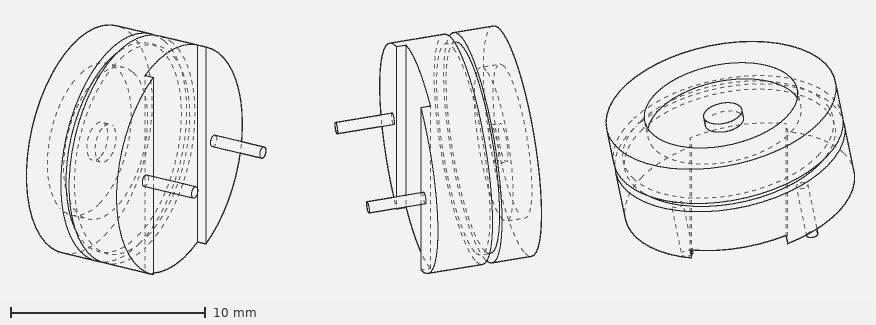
import cadquery as cq

body_diameter = 12
body_length = 5.5
total_length = 8.5

groove_diameter = 11.0
groove_start = 2.1
groove_width = 0.5

pocket_diameter = 8.0
pocket_depth = 1.0
boss_diameter = 2.0
boss_height = 0.5

slot_width = 5.0
slot_depth = 0.5

pin_diameter = 0.6
pin_spacing = 6.5


def cylinder(diameter, start, length, y=0):
    """Cylinder along +X, beginning at X = start."""
    return cq.Workplane("YZ", origin=(start, y, 0)).circle(diameter / 2).extrude(length)


body = cylinder(body_diameter, 0, body_length)
groove = cylinder(body_diameter, groove_start, groove_width).cut(
    cylinder(groove_diameter, groove_start, groove_width)
)
body = body.cut(groove)

body = body.cut(cylinder(pocket_diameter, 0, pocket_depth))
body = body.union(cylinder(boss_diameter, pocket_depth - boss_height, boss_height))

slot = cq.Workplane("XY").box(slot_depth, slot_width, body_diameter).translate(
    (body_length - slot_depth / 2, 0, 0)
)
body = body.cut(slot)

pin_length = total_length - body_length
for pin_y in (-pin_spacing / 2, pin_spacing / 2):
    body = body.union(cylinder(pin_diameter, body_length, pin_length, pin_y))

result = body